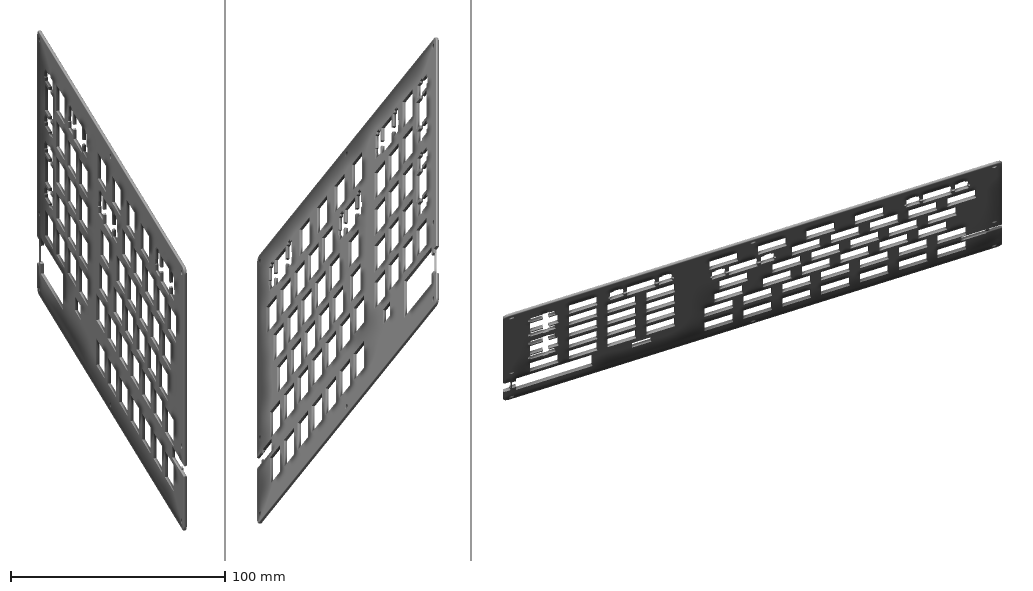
import cadquery as cq
PLATE_WIDTH = 244.79
PLATE_HEIGHT = 140.01
PLATE_THICKNESS = 1.5
CORNER_RADIUS = 3.0
RIM_RADIUS = 0.5

KEY_UNIT = 19.05
SWITCH_SIZE = 14.0
KEYS_HEIGHT_UNITS = 6.25
EDGE_MARGIN = (PLATE_HEIGHT - KEYS_HEIGHT_UNITS * KEY_UNIT) / 2
KEYS_TOP = PLATE_HEIGHT - EDGE_MARGIN
NUMPAD_LEFT = EDGE_MARGIN
NUMPAD_TO_MAIN_UNITS = 4.5
MAIN_LEFT = NUMPAD_LEFT + NUMPAD_TO_MAIN_UNITS * KEY_UNIT

MAIN_ROWS = [
    (0.5, [1.25, 1.25, 1.25, 1.25, 2.25]),
    (1.5, [2.25, 1, 1, 1, 1, 1]),
    (2.5, [1.75, 1, 1, 1, 1, 1]),
    (3.5, [1.5, 1, 1, 1, 1, 1]),
    (4.5, [1] * 7),
    (5.75, [1] * 7),
]
NUMPAD_SINGLE_KEYS = [(1.5, 0.5), (0.5, 4.5)]
NUMPAD_SINGLE_KEYS += [(column + 0.5, row + 0.5) for column in (1, 2, 3) for row in (1, 2, 3, 4)]
NUMPAD_WIDE_KEY = (3.0, 0.5)
NUMPAD_TALL_KEYS = [(0.5, 1.0), (0.5, 3.0)]
STABILIZED_WIDTH = 2.0

STABILIZER_OFFSET = 11.938
STABILIZER_WIDTH = 6.65
STABILIZER_BOTTOM = -5.53
STABILIZER_TOP = 6.77
NOTCH_WIDTH = 3.3
NOTCH_TOP = 7.97
WIRE_BOTTOM = -2.3
WIRE_TOP = 0.5
WIRE_OVERHANG = 4.2
WIRE_REACH = STABILIZER_OFFSET + WIRE_OVERHANG

SCREW_DIAMETER = 2.5
SCREW_INSET = 4.0
SIDE_SCREW_HEIGHT = 43.8

WINDOW_LEFT = 6.2
WINDOW_RIGHT = 43.6
WINDOW_BOTTOM = 13.2
WINDOW_TOP = 32.2
BAY_BOTTOM = 18.3
BAY_TOP = 27.9
WEB_LEFT = 3.4
WEB_RIGHT = 4.2
EDGE_NOTCH_BOTTOM = 15.8
EDGE_NOTCH_TOP = 29.8

SMALL_WINDOW_LEFT = 63.0
SMALL_WINDOW_RIGHT = 72.6
SMALL_WINDOW_BOTTOM = 23.3
SMALL_WINDOW_TOP = 30.8

SLOT_LEFT = 224.7
SLOT_BOTTOM = 29.45
SLOT_TOP = 35.9
TAB_LEFT = 236.9
TAB_RIGHT = 238.6
TAB_GAP_BOTTOM = 31.0
TAB_GAP_TOP = 34.1
MOUTH_LEFT = TAB_LEFT - RIM_RADIUS
MOUTH_BOTTOM = 29.9
MOUTH_TOP = 35.2

HALF_THICKNESS = PLATE_THICKNESS / 2
STRIP_ROUNDING = 0.7


def block(left, right, bottom, top, front=0, back=PLATE_THICKNESS):
    """Box between two depths, by default through the whole plate."""
    box = cq.Workplane("XY").box(right - left, back - front, top - bottom, centered=False)
    return box.translate((left, front, bottom))


def switch_cutout():
    """Switch square around the origin."""
    half = SWITCH_SIZE / 2
    return block(-half, half, -half, half)


def stabilized_cutout():
    """Switch square, two stabilizer pockets and the wire channel, around the origin."""
    cutout = switch_cutout()
    cutout = cutout.union(block(-WIRE_REACH, WIRE_REACH, WIRE_BOTTOM, WIRE_TOP))
    half_pocket = STABILIZER_WIDTH / 2
    half_notch = NOTCH_WIDTH / 2
    for x in (-STABILIZER_OFFSET, STABILIZER_OFFSET):
        cutout = cutout.union(block(x - half_pocket, x + half_pocket, STABILIZER_BOTTOM, STABILIZER_TOP))
        cutout = cutout.union(block(x - half_notch, x + half_notch, STABILIZER_BOTTOM, NOTCH_TOP))
    return cutout


def key_cutouts():
    """Cutouts of all keys, as a list of solids."""
    wide = stabilized_cutout()
    tall = wide.rotate((0, 0, 0), (0, 1, 0), -90)
    single = switch_cutout()
    placed = []

    def place(shape, left, column, row):
        placed.append(shape.translate((left + column * KEY_UNIT, 0, KEYS_TOP - row * KEY_UNIT)))

    for row, widths in MAIN_ROWS:
        key_left = 0
        for width in widths:
            shape = wide if width >= STABILIZED_WIDTH else single
            place(shape, MAIN_LEFT, key_left + width / 2, row)
            key_left += width
    for column, row in NUMPAD_SINGLE_KEYS:
        place(single, NUMPAD_LEFT, column, row)
    for column, row in NUMPAD_TALL_KEYS:
        place(tall, NUMPAD_LEFT, column, row)
    place(wide, NUMPAD_LEFT, *NUMPAD_WIDE_KEY)
    return placed


def screw_holes():
    left = SCREW_INSET
    right = PLATE_WIDTH - SCREW_INSET
    bottom = SCREW_INSET
    top = PLATE_HEIGHT - SCREW_INSET
    centers = [(left, SIDE_SCREW_HEIGHT), (right, SIDE_SCREW_HEIGHT)]
    centers += [(x, z) for x in (left, PLATE_WIDTH / 2, right) for z in (bottom, top)]
    hole = cq.Workplane("XZ").circle(SCREW_DIAMETER / 2).extrude(-PLATE_THICKNESS)
    return [hole.translate((x, 0, z)) for x, z in centers]


def window_cutouts():
    return [
        block(WINDOW_LEFT, WINDOW_RIGHT, WINDOW_BOTTOM, WINDOW_TOP),
        block(WEB_LEFT, WINDOW_LEFT, BAY_BOTTOM, BAY_TOP),
        block(0, WEB_LEFT, EDGE_NOTCH_BOTTOM, EDGE_NOTCH_TOP),
        block(SMALL_WINDOW_LEFT, SMALL_WINDOW_RIGHT, SMALL_WINDOW_BOTTOM, SMALL_WINDOW_TOP),
    ]


def edge_web():
    """Strip between notch and bay, rounded at its back left edge."""
    web = block(WEB_LEFT, WEB_RIGHT, BAY_BOTTOM, BAY_TOP, back=HALF_THICKNESS)
    return web.faces("<X").edges(">Y").fillet(STRIP_ROUNDING)


def slot_tabs():
    """Lower and upper tab of the edge slot, rounded at the front of their tips."""
    lower = block(TAB_LEFT, TAB_RIGHT, MOUTH_BOTTOM - RIM_RADIUS, TAB_GAP_BOTTOM, front=HALF_THICKNESS)
    upper = block(TAB_LEFT, TAB_RIGHT, TAB_GAP_TOP, MOUTH_TOP + RIM_RADIUS, front=HALF_THICKNESS)
    return [
        lower.faces(">Z").edges("<Y").fillet(STRIP_ROUNDING),
        upper.faces("<Z").edges("<Y").fillet(STRIP_ROUNDING),
    ]


def rounded_plate():
    """Plate with the mouth cut into its right edge and its whole rim rounded, front and back."""
    plate = block(0, PLATE_WIDTH, 0, PLATE_HEIGHT).edges("|Y").fillet(CORNER_RADIUS)
    plate = plate.cut(block(MOUTH_LEFT, PLATE_WIDTH, MOUTH_BOTTOM, MOUTH_TOP))
    return plate.faces("<Y or >Y").edges().fillet(RIM_RADIUS)


plate = rounded_plate()
inner_slot = block(SLOT_LEFT, TAB_LEFT, SLOT_BOTTOM, SLOT_TOP)
for cutout in [inner_slot] + key_cutouts() + screw_holes() + window_cutouts():
    plate = plate.cut(cutout)
for strip in [edge_web()] + slot_tabs():
    plate = plate.union(strip)
result = plate.translate((-PLATE_WIDTH / 2, -PLATE_THICKNESS / 2, -PLATE_HEIGHT / 2))